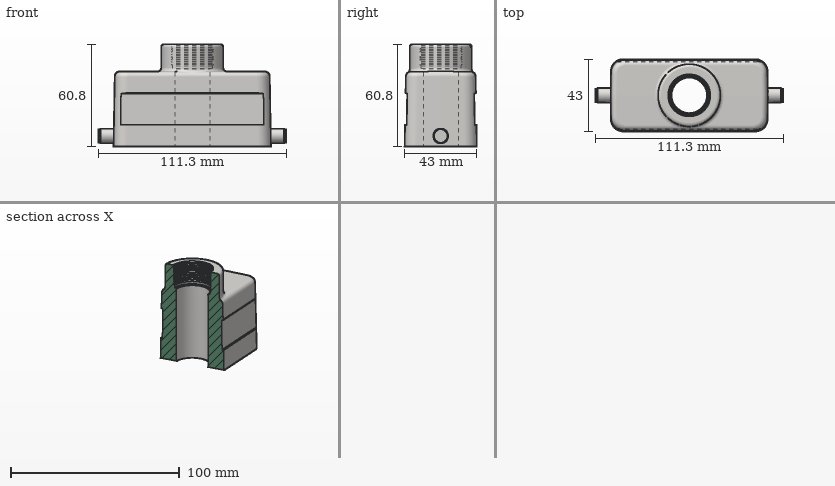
import cadquery as cq
import math

body_length = 93.5
body_width = 42.97
body_height = 44.6
draft_angle = 1.0
end_crown_angle = 1.0
roof_angle = 0.5
corner_radius = 7.5
top_rim_radius = 3.0

total_height = 60.8
boss_diameter = 37.0
boss_top_radius = 2.0
boss_base_radius = 2.0

through_diameter = 21.0
thread_minor_diameter = 23.5
thread_major_diameter = 25.0
thread_pitch = 1.5
thread_count = 9
thread_relief = 1.5
throat_chamfer = 0.5

recess_bottom = 12.9
recess_top = 31.8
recess_depth = 1.0
recess_top_slant = 25.0

pin_span = 111.26
pin_diameter = 8.8
pin_tip_diameter = 8.0
pin_tip_length = 1.0
pin_height = 6.3

mid_plane_gap = 1.0
selection_margin = 0.1

draft_slope = math.tan(math.radians(draft_angle))
end_crown_slope = math.tan(math.radians(end_crown_angle))
roof_slope = math.tan(math.radians(roof_angle))


def edges_off_mid_plane(bottom, top):
    """Selector for edges centred between two heights and clear of the mid plane y = 0."""
    return cq.selectors.BoxSelector(
        (-body_length, mid_plane_gap, bottom),
        (body_length, body_width, top),
    )


def make_half_body():
    """The +Y half of the body: drafted walls, end and top sloping off the mid plane."""
    half_length = body_length / 2
    half_width = body_width / 2
    corner_x = half_length - half_width * end_crown_slope
    eave_height = body_height - half_width * roof_slope
    block = (
        cq.Workplane("XY")
        .polyline([
            (half_length, 0),
            (corner_x, half_width),
            (-corner_x, half_width),
            (-half_length, 0),
            (-corner_x, -half_width),
            (corner_x, -half_width),
        ])
        .close()
        .extrude(body_height, taper=draft_angle)
    )
    half_gable = (
        cq.Workplane("YZ")
        .polyline([
            (0, 0),
            (half_width, 0),
            (half_width, eave_height),
            (0, body_height),
        ])
        .close()
        .extrude(half_length, both=True)
    )
    block = block.intersect(half_gable)
    corners = edges_off_mid_plane(top_rim_radius, body_height - top_rim_radius)
    block = block.edges(corners).fillet(corner_radius)
    rim = edges_off_mid_plane(eave_height - top_rim_radius, total_height)
    return block.edges(rim).fillet(top_rim_radius)


def add_half_boss(half_body):
    """Half of the cable entry boss, its foot blended into the half body."""
    radius = boss_diameter / 2
    root_height = body_height / 2
    half_boss = (
        cq.Workplane("XY", origin=(0, 0, root_height))
        .moveTo(radius, 0)
        .threePointArc((0, radius), (-radius, 0))
        .close()
        .extrude(total_height - root_height)
    )
    reach = radius + selection_margin
    foot = cq.selectors.BoxSelector(
        (-reach, mid_plane_gap, body_height - top_rim_radius),
        (reach, reach, body_height + selection_margin),
    )
    return half_body.union(half_boss).edges(foot).fillet(boss_base_radius)


def make_bore():
    """Through hole with a threaded entry made of V grooves, the top one opening as a lead-in."""
    minor = thread_minor_diameter / 2
    major = thread_major_diameter / 2
    throat = through_diameter / 2
    lowest_groove = total_height - (thread_count - 0.5) * thread_pitch
    seat_height = lowest_groove - thread_relief
    points = [
        (0, 0),
        (throat, 0),
        (throat, seat_height - throat_chamfer),
        (throat + throat_chamfer, seat_height),
        (minor, seat_height),
    ]
    for index in range(thread_count):
        groove_bottom = lowest_groove + index * thread_pitch
        points.append((minor, groove_bottom))
        points.append((major, groove_bottom + thread_pitch / 2))
    points.append((0, total_height))
    return cq.Workplane("XZ").polyline(points).close().revolve(360, (0, 0, 0), (0, 1, 0))


def make_recess(side):
    """Slab that cuts the recess, its floor parallel to the drafted side wall."""
    def floor_at(height):
        return body_width / 2 - recess_depth - height * draft_slope

    outer = body_width / 2
    ceiling = recess_top - recess_depth * math.tan(math.radians(recess_top_slant))
    wall_top = outer - recess_top * draft_slope
    return (
        cq.Workplane("YZ")
        .polyline([
            (side * floor_at(recess_bottom), recess_bottom),
            (side * outer, recess_bottom),
            (side * outer, recess_top),
            (side * wall_top, recess_top),
            (side * floor_at(ceiling), ceiling),
        ])
        .close()
        .extrude(body_length / 2, both=True)
    )


def make_pin(side):
    """Pin standing out of one end, its shank chamfered down to the tip."""
    root = body_length / 4
    tip = pin_span / 2
    shoulder = tip - pin_tip_length
    shank_end = shoulder - (pin_diameter - pin_tip_diameter) / 2
    return (
        cq.Workplane("XY", origin=(0, 0, pin_height))
        .polyline([
            (side * root, 0),
            (side * root, pin_diameter / 2),
            (side * shank_end, pin_diameter / 2),
            (side * shoulder, pin_tip_diameter / 2),
            (side * tip, pin_tip_diameter / 2),
            (side * tip, 0),
        ])
        .close()
        .revolve(360, (0, 0, 0), (1, 0, 0))
    )



half_housing = add_half_boss(make_half_body())
result = half_housing.union(half_housing.mirror("XZ"))
result = result.faces(">Z").edges("%CIRCLE").fillet(boss_top_radius)
for side in (-1, 1):
    result = result.cut(make_recess(side))
    result = result.union(make_pin(side))
result = result.cut(make_bore())